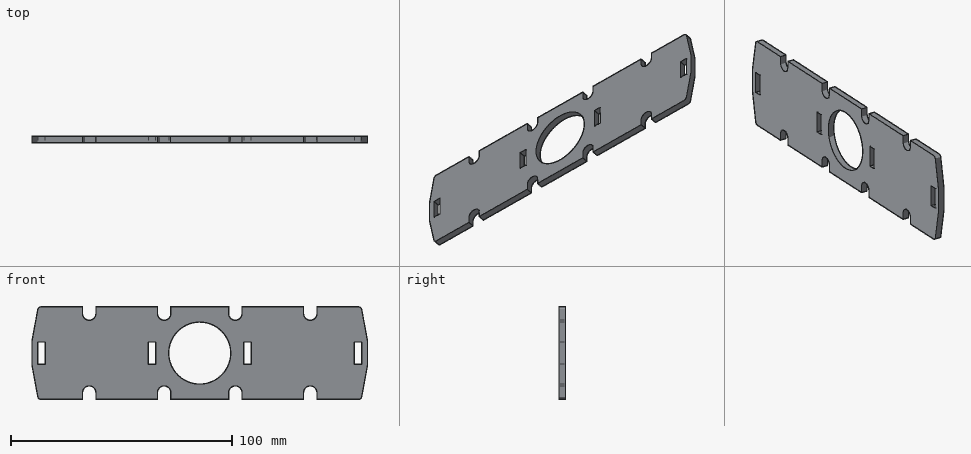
import cadquery as cq

length = 152.0
height = 42.0
thickness = 3.0

end_flat_height = 10.5
end_taper = 2.9
corner_radius = 1.5

bore_diameter = 28.0
notch_width = 6.0
notch_depth = 6.1
notch_offsets = (16.1, 50.0)
slot_width = 3.3
slot_height = 9.9
slot_offsets = (21.6, 71.6)


def mirrored(offsets):
    """Return each offset on both sides of the centre."""
    return [side * offset for offset in offsets for side in (-1, 1)]


def front_plane():
    """Sketch plane on the -Y face, with its normal toward -Y."""
    return cq.Workplane("XZ", origin=(0, -thickness / 2, 0))


def make_plate():
    end_x = length / 2
    corner_x = end_x - end_taper
    flat_z = end_flat_height / 2
    edge_z = height / 2
    outline = [
        (-end_x, -flat_z),
        (-corner_x, -edge_z),
        (corner_x, -edge_z),
        (end_x, -flat_z),
        (end_x, flat_z),
        (corner_x, edge_z),
        (-corner_x, edge_z),
        (-end_x, flat_z),
    ]
    plate = front_plane().polyline(outline).close().extrude(-thickness)
    corners = plate.edges("|Y").edges("<Z or >Z")
    return corners.fillet(corner_radius)


def make_notches():
    """Round-bottomed notches; each cutter is a slot centred on a long edge."""
    centres = [(x, z) for x in mirrored(notch_offsets) for z in (-height / 2, height / 2)]
    cutter_length = 2 * notch_depth
    return front_plane().pushPoints(centres).slot2D(cutter_length, notch_width, 90).extrude(-thickness)


def make_slots():
    centres = [(x, 0) for x in mirrored(slot_offsets)]
    return front_plane().pushPoints(centres).rect(slot_width, slot_height).extrude(-thickness)


def make_bore():
    return front_plane().circle(bore_diameter / 2).extrude(-thickness)


result = make_plate().cut(make_notches()).cut(make_slots()).cut(make_bore())